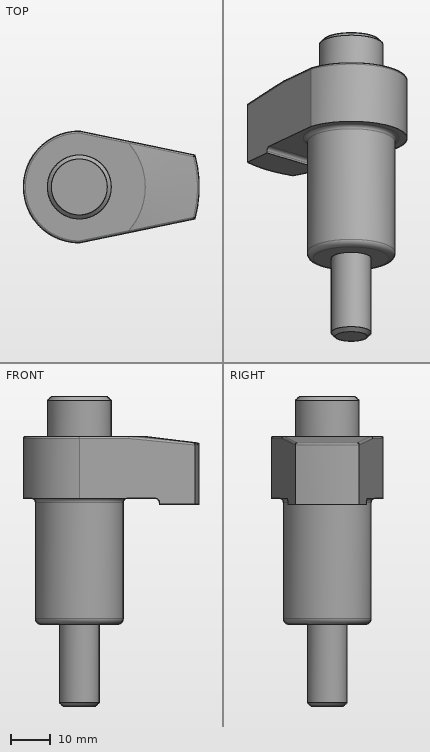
import cadquery as cq
import math

hub_radius = 14.0
nose_radius = 30.0
nose_half_width = 8.0
arm_height = 15.5
arm_edge_radius = 0.5

slope_start_radius = 16.5
slope_angle = 7.0
slope_cutter_overhang = 10.0

pad_start = 20.0
pad_drop = 1.5
pad_corner_radius = 1.0

stud_diameter = 16.0
stud_height = 10.0
stud_chamfer = 1.0

body_diameter = 22.0
body_length = 31.5
body_bottom_radius = 1.5
body_root_radius = 1.0
pin_diameter = 10.0
total_height = 77.5
pin_chamfer = 1.0

pin_bottom = arm_height + stud_height - total_height
nose_corner_x = math.sqrt(nose_radius**2 - nose_half_width**2)
match_tolerance = 0.01


def cylinder(diameter, bottom, height):
    return cq.Workplane("XY").workplane(offset=bottom).circle(diameter / 2).extrude(height)


def arm_outline(bottom):
    """Wire of the arm seen from above: hub arc, two tapering sides, nose arc."""
    return (
        cq.Workplane("XY")
        .workplane(offset=bottom)
        .moveTo(0, hub_radius)
        .threePointArc((-hub_radius, 0), (0, -hub_radius))
        .lineTo(nose_corner_x, -nose_half_width)
        .threePointArc((nose_radius, 0), (nose_corner_x, nose_half_width))
        .close()
    )


def slope_drop(radius):
    """How far the sloped top lies below the flat top at a radius from the hub axis."""
    return (radius - slope_start_radius) * math.tan(math.radians(slope_angle))


def make_slope_cutter():
    """Ring above the cone that slopes the top of the arm down."""
    outer_radius = nose_radius + slope_cutter_overhang
    drop = slope_drop(outer_radius)
    return (
        cq.Workplane("XZ")
        .moveTo(slope_start_radius, arm_height)
        .lineTo(outer_radius, arm_height - drop)
        .lineTo(outer_radius, arm_height)
        .close()
        .revolve(360, (0, 0, 0), (0, 1, 0))
    )


def make_pad_relief():
    """Volume removed from under the arm, leaving the pad with a rounded inner corner."""
    return (
        cq.Workplane("XZ")
        .moveTo(-hub_radius, -pad_drop)
        .lineTo(pad_start, -pad_drop)
        .lineTo(pad_start, -pad_corner_radius)
        .radiusArc((pad_start - pad_corner_radius, 0), -pad_corner_radius)
        .lineTo(-hub_radius, 0)
        .close()
        .extrude(hub_radius, both=True)
    )


def is_top_rim_edge(edge):
    """True for the edges where the flat or sloped top meets the side walls."""
    box = edge.BoundingBox()
    slope_end_height = arm_height - slope_drop(nose_radius)
    is_on_top = box.zmin > slope_end_height - match_tolerance
    is_slope_start = (
        edge.geomType() == "CIRCLE" and abs(edge.radius() - slope_start_radius) < match_tolerance
    )
    return is_on_top and not is_slope_start


def make_arm():
    arm = arm_outline(-pad_drop).extrude(arm_height + pad_drop).cut(make_slope_cutter())
    arm = arm.edges().filter(is_top_rim_edge).fillet(arm_edge_radius)
    return arm.cut(make_pad_relief())


def make_stud():
    return cylinder(stud_diameter, arm_height, stud_height).faces(">Z").chamfer(stud_chamfer)


def make_body():
    body = cylinder(body_diameter, -body_length, body_length)
    return body.faces("<Z").edges().fillet(body_bottom_radius)


def make_body_root():
    """Concave fillet ring between the body and the underside of the arm."""
    body_radius = body_diameter / 2
    return (
        cq.Workplane("XZ")
        .moveTo(0, 0)
        .lineTo(body_radius + body_root_radius, 0)
        .radiusArc((body_radius, -body_root_radius), -body_root_radius)
        .lineTo(0, -body_root_radius)
        .close()
        .revolve(360, (0, 0, 0), (0, 1, 0))
    )


def make_pin():
    pin = cylinder(pin_diameter, pin_bottom, -body_length - pin_bottom)
    return pin.faces("<Z").chamfer(pin_chamfer)


result = make_arm()
for feature in (make_stud(), make_body_root(), make_body(), make_pin()):
    result = result.union(feature)